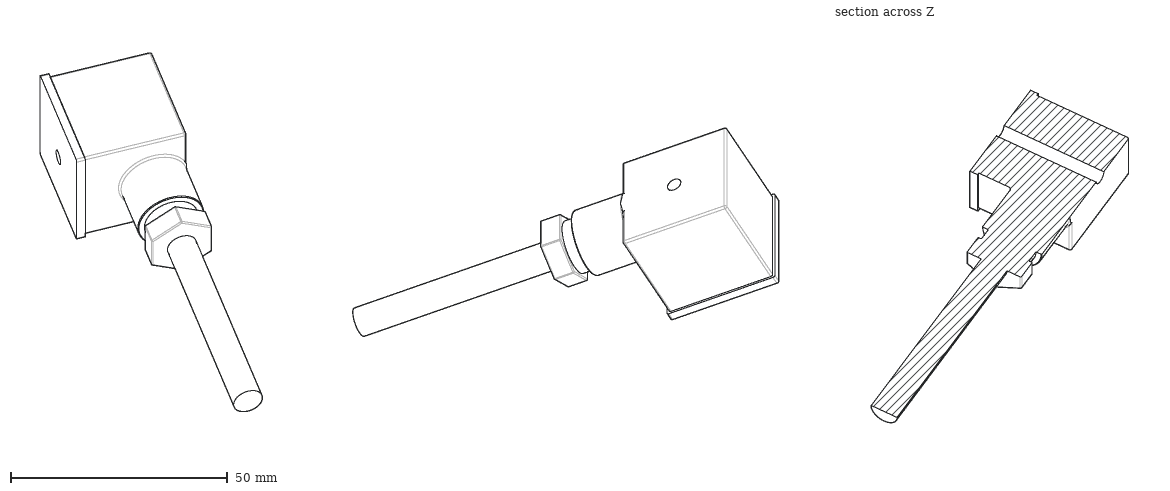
import cadquery as cq
import math


overall_length = 98.5
overall_depth = 26.8

plate_side = 27.7
plate_thickness = 2.1
plate_corner_radius = 0.5

body_side = 26.6
body_edge_radius = 0.5
screw_hole_diameter = 3.4

sleeve_diameter = 16.0
sleeve_length = 13.2
sleeve_end_chamfer = 0.2
sleeve_root_radius = 0.5
neck_diameter = 12.9
neck_length = 3.0
nut_sides = 6
nut_across_flats = 14.6
nut_length = 5.2
nut_edge_radius = 0.3
cable_diameter = 7.0

body_end = body_side / 2
sleeve_radius = sleeve_diameter / 2
axis_y = overall_depth - sleeve_radius
sleeve_end = body_end + sleeve_length
nut_start = sleeve_end + neck_length
cable_end = overall_length - plate_side / 2
half_side_angle = 180 / nut_sides
nut_across_corners = nut_across_flats / math.cos(math.radians(half_side_angle))


def outlet_plane(x):
    """Plane square to the cable axis at the given X, facing +X, with its local X along Y."""
    return cq.Workplane(cq.Plane(origin=(x, axis_y, 0), xDir=(0, 1, 0), normal=(1, 0, 0)))


def make_plate():
    """Square front plate with rounded corners."""
    plate = cq.Workplane("XY").box(plate_side, plate_thickness, plate_side, centered=(True, False, True))
    return plate.edges("|Y").fillet(plate_corner_radius)


def make_body():
    """Housing block with rounded side edges and a rounded rim around its back face."""
    body = cq.Workplane("XY").box(body_side, overall_depth, body_side, centered=(True, False, True))
    return body.edges("|Y or >Y").fillet(body_edge_radius)


def make_sleeve():
    """Round outlet starting inside the housing, with a chamfered outer end."""
    sleeve = outlet_plane(0).circle(sleeve_radius).extrude(sleeve_end)
    return sleeve.faces(">X").edges().chamfer(sleeve_end_chamfer)


def make_sleeve_root():
    """Concave ring blending the sleeve into the housing, trimmed flush with the back face."""
    root_end = body_end + sleeve_root_radius
    ring_start = body_end - body_edge_radius
    sleeve_surface_y = axis_y + sleeve_radius
    ring_surface_y = sleeve_surface_y + sleeve_root_radius
    arc_offset = sleeve_root_radius * (1 - math.sqrt(0.5))
    ring = (
        cq.Workplane("XY")
        .moveTo(ring_start, axis_y)
        .lineTo(root_end, axis_y)
        .lineTo(root_end, sleeve_surface_y)
        .threePointArc(
            (body_end + arc_offset, sleeve_surface_y + arc_offset),
            (body_end, ring_surface_y),
        )
        .lineTo(ring_start, ring_surface_y)
        .close()
        .revolve(360, (0, axis_y, 0), (1, axis_y, 0))
    )
    trim = cq.Workplane("XY").box(plate_side * 2, overall_depth, plate_side, centered=(True, False, True))
    return ring.intersect(trim)


def make_nut():
    """Hexagon gland nut with corners up and down and all edges rounded."""
    nut = outlet_plane(nut_start).transformed(rotate=(0, 0, half_side_angle))
    nut = nut.polygon(nut_sides, nut_across_corners).extrude(nut_length)
    return nut.edges().fillet(nut_edge_radius)


def make_gland():
    """Neck and cable, both starting inside the sleeve, with the nut around them."""
    nut_middle = nut_start + nut_length / 2
    neck = outlet_plane(body_end).circle(neck_diameter / 2).extrude(nut_middle - body_end)
    cable = outlet_plane(body_end).circle(cable_diameter / 2).extrude(cable_end - body_end)
    return neck.union(make_nut()).union(cable)


def make_screw_hole():
    """Through hole for the central fixing screw."""
    hole = cq.Workplane("XZ").circle(screw_hole_diameter / 2)
    return hole.extrude(-overall_depth)


housing = make_plate().union(make_body()).union(make_sleeve_root()).union(make_sleeve())
result = housing.union(make_gland()).cut(make_screw_hole())